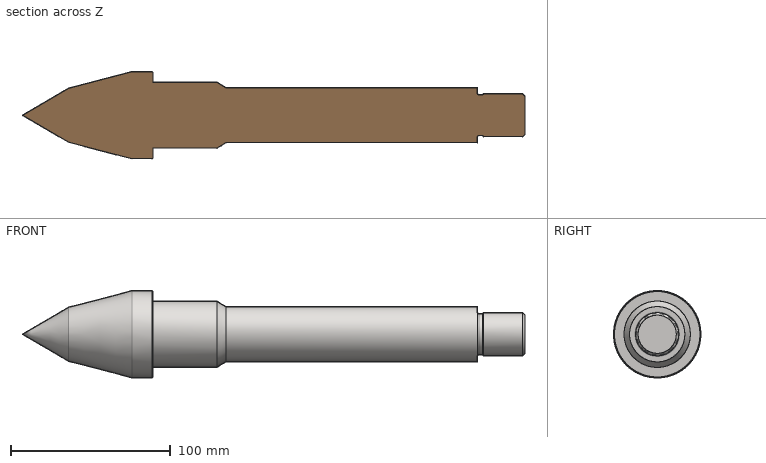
import cadquery as cq

length = 315.0
tip_x = -length / 2
end_x = length / 2
point_end_x = tip_x + 29.0
flare_end_x = tip_x + 68.5
collar_end_x = tip_x + 82.0
journal_end_x = collar_end_x + 40.0
shaft_start_x = journal_end_x + 5.7
shaft_end_x = end_x - 30.0
spigot_start_x = shaft_end_x + 3.8

point_radius = 17.0
collar_radius = 54.8 / 2
journal_radius = 20.8
shaft_radius = 17.3
groove_radius = 13.0
spigot_radius = 13.5

collar_chamfer = 0.5
groove_chamfer = spigot_radius - groove_radius
groove_fillet = 1.0
spigot_chamfer = 1.5

fillet_mid_offset = groove_fillet * (1 - 0.5**0.5)
profile = (
    cq.Workplane("XY")
    .moveTo(tip_x, 0)
    .lineTo(point_end_x, point_radius)
    .lineTo(flare_end_x, collar_radius)
    .lineTo(collar_end_x - collar_chamfer, collar_radius)
    .lineTo(collar_end_x, collar_radius - collar_chamfer)
    .lineTo(collar_end_x, journal_radius)
    .lineTo(journal_end_x, journal_radius)
    .lineTo(shaft_start_x, shaft_radius)
    .lineTo(shaft_end_x, shaft_radius)
    .lineTo(shaft_end_x, groove_radius + groove_fillet)
    .threePointArc(
        (shaft_end_x + fillet_mid_offset, groove_radius + fillet_mid_offset),
        (shaft_end_x + groove_fillet, groove_radius),
    )
    .lineTo(spigot_start_x - groove_chamfer, groove_radius)
    .lineTo(spigot_start_x, spigot_radius)
    .lineTo(end_x - spigot_chamfer, spigot_radius)
    .lineTo(end_x, spigot_radius - spigot_chamfer)
    .lineTo(end_x, 0)
    .close()
)

result = profile.revolve(360, (0, 0, 0), (1, 0, 0))